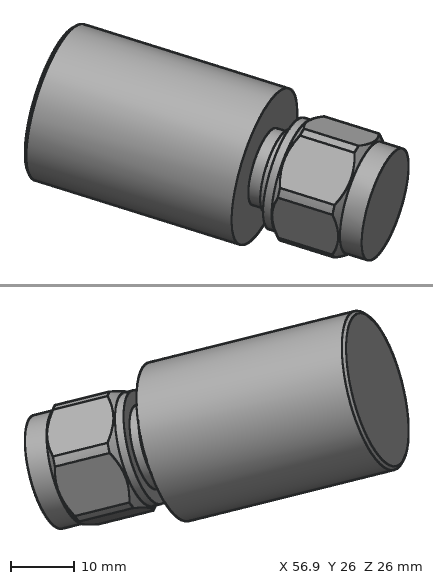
import cadquery as cq
import math


BARREL_DIAMETER = 26.0
BARREL_END = 36.0
BARREL_CHAMFER = 0.5
NECK_DIAMETER = 12.8
NECK_END = 38.3
SHOULDER_DIAMETER = 13.8
SHOULDER_END = 39.85

SLEEVE_DIAMETER = 18.6
NUT_END = 56.9
HEX_START = 41.3
HEX_END = 53.15
HEX_SIDES = 6
HEX_ACROSS_FLATS = 19.0
HEX_ROUNDED_DIAMETER = 21.05
HEX_CHAMFER_LENGTH = 1.2


def cylinder(start, end, diameter):
    """Cylinder along X between two positions."""
    return cq.Workplane("YZ", origin=(start, 0, 0)).circle(diameter / 2).extrude(end - start)


def make_housing():
    barrel = cylinder(0, BARREL_END, BARREL_DIAMETER).faces("<X").chamfer(BARREL_CHAMFER)
    neck = cylinder(BARREL_END, NECK_END, NECK_DIAMETER)
    shoulder = cylinder(NECK_END, SHOULDER_END, SHOULDER_DIAMETER)
    return barrel.union(neck).union(shoulder)


def make_hexagon():
    """Hexagon with corners on the Z axis, rounded corners and conical ends."""
    across_corners = HEX_ACROSS_FLATS / math.cos(math.pi / HEX_SIDES)
    prism = (
        cq.Workplane("YZ", origin=(HEX_START, 0, 0))
        .transformed(rotate=(0, 0, 90))
        .polygon(HEX_SIDES, across_corners)
        .extrude(HEX_END - HEX_START)
    )
    cone_base = SLEEVE_DIAMETER / 2
    rounded_radius = HEX_ROUNDED_DIAMETER / 2
    corner_limit = (
        cq.Workplane("XY")
        .moveTo(HEX_START, 0)
        .lineTo(HEX_START, cone_base)
        .lineTo(HEX_START + HEX_CHAMFER_LENGTH, rounded_radius)
        .lineTo(HEX_END - HEX_CHAMFER_LENGTH, rounded_radius)
        .lineTo(HEX_END, cone_base)
        .lineTo(HEX_END, 0)
        .close()
        .revolve(360, (0, 0, 0), (1, 0, 0))
    )
    return prism.intersect(corner_limit)


def make_coupling_nut():
    sleeve = cylinder(SHOULDER_END, NUT_END, SLEEVE_DIAMETER)
    return sleeve.union(make_hexagon())


housing = make_housing()
coupling_nut = make_coupling_nut()

result = cq.Compound.makeCompound([housing.solids().val(), coupling_nut.solids().val()])